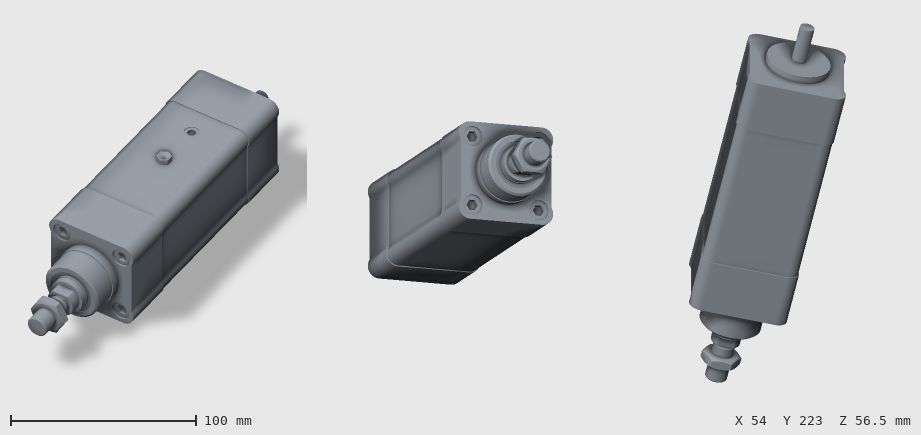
import cadquery as cq
import math


ROD_TIP_Y = -54.0
NUT_FRONT_Y = -44.2
THREAD_START_Y = -32.1
FLATS_FRONT_Y = -30.5
FLATS_BACK_Y = -24.3
FRONT_CAP_LENGTH = 30.0
TUBE_LENGTH = 84.5
REAR_CAP_LENGTH = 29.5
FLANGE_THICKNESS = 4.2
SHAFT_END_Y = 169.0

TUBE_FRONT_Y = FRONT_CAP_LENGTH
TUBE_BACK_Y = TUBE_FRONT_Y + TUBE_LENGTH
REAR_FACE_Y = TUBE_BACK_Y + REAR_CAP_LENGTH
FLANGE_BACK_Y = REAR_FACE_Y + FLANGE_THICKNESS

CAP_HALF_SIZE = 27.0
LOBE_CENTRE = 20.5
SIDE_RECESS = 1.1
SIDE_FILLET = 5.4
TUBE_INSET = 0.58

COLLAR_DIAMETER = 35.0
COLLAR_LENGTH = 5.4
NOSE_DIAMETER = 34.0
NOSE_LENGTH = 19.8
NOSE_CHAMFER = 1.1
SEAL_RECESS_DIAMETER = 25.9
SEAL_RECESS_DEPTH = 1.0
SEAL_LIP_DIAMETER = 20.5
SEAL_LIP_HEIGHT = 0.7

SCREW_OFFSET = 19.0
SCREW_HEAD_DIAMETER = 11.0
SCREW_HEAD_RECESS = 1.1
SCREW_SOCKET_SIZE = 5.5
SCREW_SOCKET_DEPTH = 4.5
SCREW_DIMPLE_DIAMETER = 5.0

FLANGE_DIAMETER = 35.0
SHAFT_DIAMETER = 8.0

VENT_Y = 72.0
VENT_SIZE = 7.4
VENT_HEIGHT = 3.1
VENT_DIMPLE_DIAMETER = 6.5
PORT_Y = 99.2
PORT_RECESS_DIAMETER = 8.5
PORT_RECESS_DEPTH = 0.5
PORT_HOLE_DIAMETER = 5.0
PORT_HOLE_DEPTH = 2.2
DRILL_HALF_ANGLE = 59

ROD_DIAMETER = 19.8
ROD_NECK_DIAMETER = 16.0
ROD_FLATS_SIZE = 13.0
GROOVE_DIAMETER = 10.5
THREAD_DIAMETER = 12.0
THREAD_CHAMFER = 0.7

NUT_SIZE = 19.0
NUT_THICKNESS = 6.0
NUT_CHAMFER_DIAMETER = 17.5
NUT_CHAMFER_ANGLE = 30


def plane_at(y):
    """Plane across the axis at the given Y, facing +Y, with local x along +X and local y along -Z."""
    return cq.Workplane(cq.Plane(origin=(0, y, 0), xDir=(1, 0, 0), normal=(0, 1, 0)))


def disc(diameter, y_start, y_end):
    return plane_at(y_start).circle(diameter / 2).extrude(y_end - y_start)


def hex_corners(across_flats):
    """Diameter through the corners of a hexagon."""
    return across_flats / math.cos(math.radians(30))


def drill_tip(diameter):
    """Height of the cone that a drill leaves at the end of a hole."""
    return diameter / 2 / math.tan(math.radians(DRILL_HALF_ANGLE))


def profile_bar(inset, y_start, y_end):
    """Bar with the cap outline moved inwards by `inset`: flat top and bottom, lobes and hollow sides."""
    half = CAP_HALF_SIZE - inset
    side = half - SIDE_RECESS
    lobe = half - LOBE_CENTRE
    fillet = SIDE_FILLET + inset
    reach = lobe + fillet
    fillet_x = side + fillet
    fillet_z = LOBE_CENTRE - math.sqrt(reach**2 - (fillet_x - LOBE_CENTRE) ** 2)
    touch_x = LOBE_CENTRE + (fillet_x - LOBE_CENTRE) * lobe / reach
    touch_z = LOBE_CENTRE + (fillet_z - LOBE_CENTRE) * lobe / reach
    return (
        plane_at(y_start)
        .moveTo(0, half)
        .lineTo(LOBE_CENTRE, half)
        .tangentArcPoint((touch_x, touch_z), relative=False)
        .tangentArcPoint((side, fillet_z), relative=False)
        .lineTo(side, 0)
        .mirrorX()
        .mirrorY()
        .extrude(y_end - y_start)
    )


def screw_recess(x, z):
    """Sunk screw head with a hexagonal socket that ends in a conical dimple."""
    place = plane_at(0).center(x, -z)
    head = place.circle(SCREW_HEAD_DIAMETER / 2).extrude(SCREW_HEAD_RECESS)
    socket = place.polygon(6, hex_corners(SCREW_SOCKET_SIZE)).extrude(SCREW_SOCKET_DEPTH)
    dimple = cq.Solid.makeCone(
        SCREW_DIMPLE_DIAMETER / 2, 0, drill_tip(SCREW_DIMPLE_DIAMETER),
        pnt=cq.Vector(x, SCREW_SOCKET_DEPTH, z), dir=cq.Vector(0, 1, 0),
    )
    return head.union(socket).union(cq.Workplane(dimple))


def make_front_cap():
    nose = disc(NOSE_DIAMETER, -NOSE_LENGTH, 0).faces("<Y").chamfer(NOSE_CHAMFER)
    seal_floor = SEAL_RECESS_DEPTH - NOSE_LENGTH
    cap = (
        profile_bar(0, 0, FRONT_CAP_LENGTH)
        .union(disc(COLLAR_DIAMETER, -COLLAR_LENGTH, 0))
        .union(nose)
        .cut(disc(SEAL_RECESS_DIAMETER, -NOSE_LENGTH, seal_floor))
        .union(disc(SEAL_LIP_DIAMETER, -NOSE_LENGTH - SEAL_LIP_HEIGHT, seal_floor))
        .cut(disc(ROD_DIAMETER, -NOSE_LENGTH - SEAL_LIP_HEIGHT, FRONT_CAP_LENGTH))
    )
    for x in (-SCREW_OFFSET, SCREW_OFFSET):
        for z in (-SCREW_OFFSET, SCREW_OFFSET):
            cap = cap.cut(screw_recess(x, z))
    return cap


def make_tube():
    top_z = CAP_HALF_SIZE - TUBE_INSET
    top = cq.Workplane("XY", origin=(0, 0, top_z))

    vent = (
        top.center(0, VENT_Y)
        .transformed(rotate=(0, 0, 90))
        .polygon(6, hex_corners(VENT_SIZE))
        .extrude(VENT_HEIGHT)
    )
    vent_dimple = cq.Solid.makeCone(
        VENT_DIMPLE_DIAMETER / 2, 0, drill_tip(VENT_DIMPLE_DIAMETER),
        pnt=cq.Vector(0, VENT_Y, top_z + VENT_HEIGHT), dir=cq.Vector(0, 0, -1),
    )

    port_place = top.center(0, PORT_Y)
    port_recess = port_place.circle(PORT_RECESS_DIAMETER / 2).extrude(-PORT_RECESS_DEPTH)
    port_hole = port_place.circle(PORT_HOLE_DIAMETER / 2).extrude(-PORT_HOLE_DEPTH)
    return (
        profile_bar(TUBE_INSET, TUBE_FRONT_Y, TUBE_BACK_Y)
        .union(vent)
        .cut(cq.Workplane(vent_dimple))
        .cut(port_recess)
        .cut(port_hole)
    )


def make_rear_cap():
    return (
        profile_bar(0, TUBE_BACK_Y, REAR_FACE_Y)
        .union(disc(FLANGE_DIAMETER, REAR_FACE_Y, FLANGE_BACK_Y))
        .union(disc(SHAFT_DIAMETER, FLANGE_BACK_Y, SHAFT_END_Y))
    )


def make_rod():
    neck_length = FLATS_BACK_Y - FLATS_FRONT_Y
    flats = (
        plane_at(FLATS_FRONT_Y)
        .rect(ROD_NECK_DIAMETER, ROD_FLATS_SIZE)
        .extrude(neck_length)
    )
    neck = disc(ROD_NECK_DIAMETER, FLATS_FRONT_Y, FLATS_BACK_Y).intersect(flats)
    thread = disc(THREAD_DIAMETER, ROD_TIP_Y, THREAD_START_Y).faces("<Y or >Y").chamfer(THREAD_CHAMFER)
    return (
        disc(ROD_DIAMETER, FLATS_BACK_Y, FRONT_CAP_LENGTH)
        .union(neck)
        .union(disc(GROOVE_DIAMETER, THREAD_START_Y, FLATS_FRONT_Y))
        .union(thread)
    )


def make_nut():
    """Hexagonal nut with corners along X, its corners bevelled at both ends."""
    corner_radius = hex_corners(NUT_SIZE) / 2
    face_radius = NUT_CHAMFER_DIAMETER / 2
    bevel = (corner_radius - face_radius) * math.tan(math.radians(NUT_CHAMFER_ANGLE))
    nut_back = NUT_FRONT_Y + NUT_THICKNESS
    bevelled_round = (
        cq.Workplane("XY")
        .moveTo(0, NUT_FRONT_Y)
        .lineTo(face_radius, NUT_FRONT_Y)
        .lineTo(corner_radius, NUT_FRONT_Y + bevel)
        .lineTo(corner_radius, nut_back - bevel)
        .lineTo(face_radius, nut_back)
        .lineTo(0, nut_back)
        .close()
        .revolve(360, (0, 0, 0), (0, 1, 0))
    )
    return (
        plane_at(NUT_FRONT_Y)
        .polygon(6, hex_corners(NUT_SIZE))
        .extrude(NUT_THICKNESS)
        .intersect(bevelled_round)
        .cut(disc(THREAD_DIAMETER, NUT_FRONT_Y, nut_back))
    )


front_cap = make_front_cap()
tube = make_tube()
rear_cap = make_rear_cap()
rod = make_rod()
nut = make_nut()

result = cq.Compound.makeCompound(
    [front_cap.val(), tube.val(), rear_cap.val(), rod.val(), nut.val()]
)